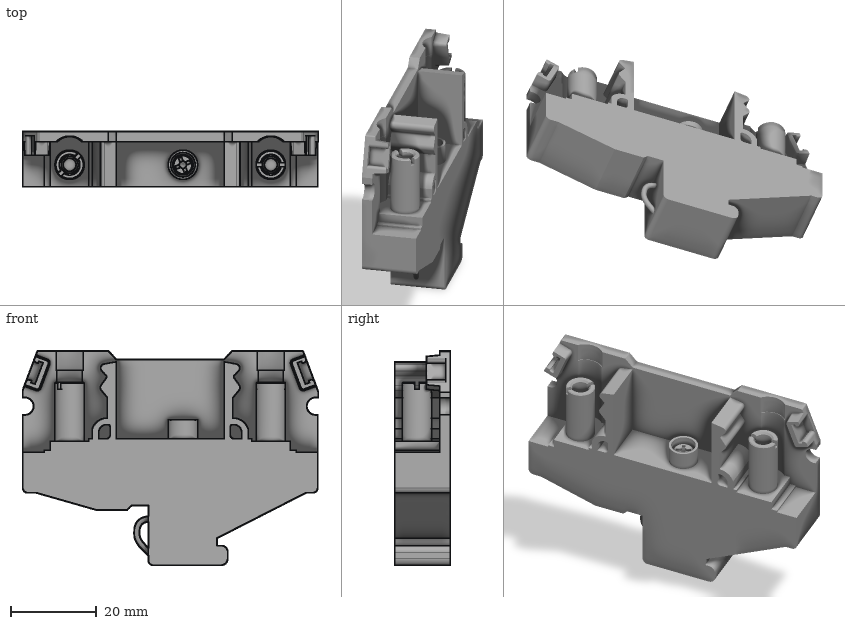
import cadquery as cq
import math

LENGTH = 69.0
HALF_BODY = 34.4
HALF_LUG = LENGTH - HALF_BODY
DEPTH = 13.0
HEIGHT = 50.0
PLATE_THICKNESS = 2.5
PLATE_FRONT = DEPTH - PLATE_THICKNESS

END_DECK = 26.4
STEP_DECK = 26.85
PILLAR_DECK = 28.9
FLOOR = 29.5
BODY_BOTTOM = 16.9
BODY_CORNER_RADIUS = 1.25

BAY_HALF = 12.55
WALL_OUTER = 14.6
WALL_TOP = 47.5
SHOULDER_OUTER = 18.15
SHOULDER_TOP = 34.35
SHOULDER_RADIUS = 3.65

BAY_PLATE_TOP = 48.0
PLATE_CHAMFER_X = 14.4
PLATE_CORNER_X = 31.0
PLATE_CORNER_RADIUS = 0.4
SLANT_ANGLE = 20.5
NOTCH_DIAMETER = 4.0
NOTCH_X = 33.9
NOTCH_Z = 37.1

PILLAR_X = 23.45
PILLAR_Y = 5.2
PILLAR_DIAMETER = 6.8
PILLAR_TOP = 42.7
PILLAR_BORE = 4.0
PILLAR_BORE_DEPTH = 5.5
PILLAR_RIM_CHAMFER = 0.2
PILLAR_MOUTH_CHAMFER = 0.4
SCREW_CHAMFER = 0.5
SCREW_HEIGHT = 1.4
SLOT_WIDTH = 1.05
SLOT_DEPTH = 1.6
SLOT_ANGLES = {-1: 45, 1: 0}

RELIEF_Y = 7.6
RELIEF_RADIUS = 4.15
RELIEF_TOP_RADIUS = 4.3
RELIEF_STEP = 45.55

SOCKET_X = 3.0
SOCKET_TOP = 33.95
SOCKET_BORE = 5.7
SOCKET_BORE_DEPTH = 2.75
SOCKET_SCREW_DIAMETER = 4.75
SOCKET_SCREW_HEIGHT = 1.4
SOCKET_SCREW_CHAMFER = 0.3
CROSS_LENGTH = 3.6
CROSS_WIDTH = 0.75
CROSS_DEPTH = 0.6
CROSS_ANGLE = 22
CROSS_CENTRE_DIAMETER = 1.65
CROSS_CONE_DEPTH = 0.55

CLIP_FRONT = 7.4
CLIP_START = 1.05
CLIP_END = 8.75
CLIP_REACH = 3.8
CLIP_RADIUS = 0.9
CLIP_TAPER = 6
CLIP_POCKET_BACK = 11.95
OPENING_START = 1.85
OPENING_END = 7.8
MOUTH_START = 2.7
MOUTH_END = 7.0
MOUTH_DEPTH = 1.2
POCKET_START = 2.15
POCKET_END = 7.45
POCKET_DEPTH = 2.2
LIP_RADIUS = 0.75

FOOT_LEFT = -5.1
WIRE_DIAMETER = 1.3
WIRE_BEND_RADIUS = 3.3
WIRE_X = -4.5
WIRE_Y = 6.0
WIRE_Z = 7.6
WIRE_TILT = 10
WIRE_TAIL_END = (0.35, -5.45)


def rounded_face(workplane, corners):
    """Closed outline through (x, y) or (x, y, corner radius) points on a workplane."""
    count = len(corners)
    outline = workplane
    for index, corner in enumerate(corners):
        x, y = corner[:2]
        radius = corner[2] if len(corner) == 3 else 0
        move = outline.lineTo if index else outline.moveTo
        if not radius:
            outline = move(x, y)
            continue
        before = cq.Vector(*corners[index - 1][:2]) - cq.Vector(x, y)
        after = cq.Vector(*corners[(index + 1) % count][:2]) - cq.Vector(x, y)
        half_angle = before.getAngle(after) / 2
        before = before.normalized()
        after = after.normalized()
        apex = cq.Vector(x, y)
        tangent = radius / math.tan(half_angle)
        to_arc = radius / math.sin(half_angle) - radius
        start = apex + before * tangent
        middle = apex + (before + after).normalized() * to_arc
        end = apex + after * tangent
        outline = move(start.x, start.y).threePointArc((middle.x, middle.y), (end.x, end.y))
    return outline.close()


def both_sides(left_part):
    return left_part.union(left_part.mirror("YZ"))


def extrude_outline(corners, back, depth):
    """Solid from an X-Z outline, reaching forward (toward -Y) from `back`."""
    return rounded_face(cq.Workplane("XZ", origin=(0, back, 0)), corners).extrude(depth)


def cylinder(diameter, x, y, bottom, top):
    return cq.Workplane("XY", origin=(x, y, bottom)).circle(diameter / 2).extrude(top - bottom)


def make_body():
    left_deck = [
        (-HALF_BODY, END_DECK),
        (-29.4, END_DECK),
        (-29.4, STEP_DECK),
        (-27.95, STEP_DECK),
        (-27.95, PILLAR_DECK),
        (-19.0, PILLAR_DECK),
        (-19.0, FLOOR),
        (-SHOULDER_OUTER, FLOOR),
        (-SHOULDER_OUTER, 31.9),
        (-17.25, SHOULDER_TOP, SHOULDER_RADIUS),
        (-WALL_OUTER, SHOULDER_TOP),
        (-WALL_OUTER, 39.1),
        (-16.55, 41.4, 1.05),
        (-14.7, 44.0, 0.35),
        (-17.2, 46.65, 1.0),
        (-BAY_HALF, WALL_TOP),
        (-BAY_HALF, FLOOR),
    ]
    right_deck = [(-x, *rest) for x, *rest in reversed(left_deck)]
    underside = [
        (HALF_BODY, BODY_BOTTOM, BODY_CORNER_RADIUS),
        (31.7, BODY_BOTTOM),
        (11.0, 6.35),
        (11.0, 4.6),
        (13.45, 4.6, 1.5),
        (13.45, 0, 1.65),
        (FOOT_LEFT, 0, 1.2),
        (FOOT_LEFT, 13.95),
        (-9.05, 13.95),
        (-10.1, 12.9),
        (-17.25, 12.9),
        (-31.25, BODY_BOTTOM),
        (-HALF_BODY, BODY_BOTTOM, BODY_CORNER_RADIUS),
    ]
    return extrude_outline(left_deck + right_deck + underside, DEPTH, DEPTH)


def make_shoulder_holes():
    left_hole = [
        (-16.7, FLOOR),
        (-16.7, 32.85, 1.9),
        (-14.0, 32.85, 0.55),
        (-14.0, FLOOR, 0.9),
    ]
    return both_sides(extrude_outline(left_hole, PLATE_FRONT, PLATE_FRONT))


def slant_z(x):
    """Height of the slanted plate end at a distance x from the middle."""
    return HEIGHT - (x - PLATE_CORNER_X) / math.tan(math.radians(SLANT_ANGLE))


def make_plate():
    plate = extrude_outline(
        [
            (-HALF_BODY, END_DECK),
            (-HALF_BODY, slant_z(HALF_BODY)),
            (-PLATE_CORNER_X, HEIGHT, PLATE_CORNER_RADIUS),
            (-PLATE_CHAMFER_X, HEIGHT),
            (-BAY_HALF, BAY_PLATE_TOP),
            (BAY_HALF, BAY_PLATE_TOP),
            (PLATE_CHAMFER_X, HEIGHT),
            (PLATE_CORNER_X, HEIGHT, PLATE_CORNER_RADIUS),
            (HALF_LUG, slant_z(HALF_LUG)),
            (HALF_LUG, NOTCH_Z),
            (HALF_BODY, NOTCH_Z),
            (HALF_BODY, END_DECK),
        ],
        DEPTH,
        PLATE_THICKNESS,
    )
    notch_run = 2 * (HALF_LUG - NOTCH_X)
    notch = (
        cq.Workplane("XZ", origin=(-NOTCH_X - notch_run / 2, DEPTH, NOTCH_Z))
        .slot2D(notch_run + NOTCH_DIAMETER, NOTCH_DIAMETER)
        .extrude(PLATE_THICKNESS)
    )
    lower_relief = cylinder(2 * RELIEF_RADIUS, -PILLAR_X, RELIEF_Y, PILLAR_DECK, RELIEF_STEP)
    upper_relief = cylinder(2 * RELIEF_TOP_RADIUS, -PILLAR_X, RELIEF_Y, RELIEF_STEP, HEIGHT)
    return plate.cut(both_sides(notch.union(lower_relief).union(upper_relief)))


def make_pillar(side):
    x = side * PILLAR_X
    bore_bottom = PILLAR_TOP - PILLAR_BORE_DEPTH
    pillar = cylinder(PILLAR_DIAMETER, x, PILLAR_Y, PILLAR_DECK, PILLAR_TOP)
    pillar = pillar.faces(">Z").chamfer(PILLAR_RIM_CHAMFER)
    pillar = pillar.cut(cylinder(PILLAR_BORE, x, PILLAR_Y, bore_bottom, PILLAR_TOP))
    mouth = pillar.faces(">Z").edges(cq.selectors.RadiusNthSelector(0))
    pillar = mouth.chamfer(PILLAR_MOUTH_CHAMFER)
    screw = cylinder(PILLAR_BORE, x, PILLAR_Y, bore_bottom, bore_bottom + SCREW_HEIGHT)
    screw = screw.faces(">Z").chamfer(SCREW_CHAMFER)
    slot = (
        cq.Workplane("XY", origin=(x, PILLAR_Y, PILLAR_TOP))
        .transformed(rotate=(0, 0, SLOT_ANGLES[side]))
        .rect(PILLAR_DIAMETER, SLOT_WIDTH)
        .extrude(-SLOT_DEPTH)
    )
    return pillar.cut(slot).union(screw)


def make_socket():
    bore_bottom = SOCKET_TOP - SOCKET_BORE_DEPTH
    screw_top = bore_bottom + SOCKET_SCREW_HEIGHT
    tube = cylinder(PILLAR_DIAMETER, SOCKET_X, PILLAR_Y, FLOOR, SOCKET_TOP)
    tube = tube.cut(cylinder(SOCKET_BORE, SOCKET_X, PILLAR_Y, bore_bottom, SOCKET_TOP))
    screw = cylinder(SOCKET_SCREW_DIAMETER, SOCKET_X, PILLAR_Y, bore_bottom, screw_top)
    screw = screw.faces(">Z").chamfer(SOCKET_SCREW_CHAMFER)
    for turn in (0, 90):
        arm = (
            cq.Workplane("XY", origin=(SOCKET_X, PILLAR_Y, screw_top))
            .transformed(rotate=(0, 0, CROSS_ANGLE + turn))
            .rect(CROSS_LENGTH, CROSS_WIDTH)
            .extrude(-CROSS_DEPTH)
        )
        screw = screw.cut(arm)
    well_bottom = screw_top - CROSS_DEPTH
    well = cylinder(CROSS_CENTRE_DIAMETER, SOCKET_X, PILLAR_Y, well_bottom, screw_top)
    cone = cq.Solid.makeCone(
        CROSS_CENTRE_DIAMETER / 2,
        0,
        CROSS_CONE_DEPTH,
        pnt=cq.Vector(SOCKET_X, PILLAR_Y, well_bottom),
        dir=cq.Vector(0, 0, -1),
    )
    return tube.union(screw.cut(well).cut(cq.Workplane(cone)))


def slant_workplane(y):
    """Plane at the left plate corner: x runs inward square to the slant, -y runs down the slant."""
    angle = math.radians(SLANT_ANGLE)
    return cq.Workplane(
        cq.Plane(
            origin=(-PLATE_CORNER_X, y, HEIGHT),
            xDir=(math.cos(angle), 0, -math.sin(angle)),
            normal=(0, -1, 0),
        )
    )


def make_clip():
    height = PLATE_FRONT - CLIP_FRONT
    block = rounded_face(
        slant_workplane(PLATE_FRONT),
        [
            (-CLIP_REACH, -CLIP_START),
            (CLIP_REACH, -CLIP_START, CLIP_RADIUS),
            (CLIP_REACH, -CLIP_END, CLIP_RADIUS),
            (-CLIP_REACH, -CLIP_END),
        ],
    ).extrude(height, taper=CLIP_TAPER)
    keep = slant_workplane(PLATE_FRONT).rect(2 * CLIP_REACH, 2 * HEIGHT).extrude(height)
    keep = keep.translate(slant_workplane(0).plane.xDir * CLIP_REACH)
    return block.intersect(keep)


def make_clip_pocket():
    return rounded_face(
        slant_workplane(CLIP_POCKET_BACK),
        [
            (-CLIP_REACH, -OPENING_START),
            (0, -OPENING_START),
            (0, -MOUTH_START, LIP_RADIUS),
            (MOUTH_DEPTH, -MOUTH_START),
            (MOUTH_DEPTH, -POCKET_START),
            (POCKET_DEPTH, -POCKET_START),
            (POCKET_DEPTH, -POCKET_END),
            (MOUTH_DEPTH, -POCKET_END),
            (MOUTH_DEPTH, -MOUTH_END),
            (0, -MOUTH_END, LIP_RADIUS),
            (0, -OPENING_END),
            (-CLIP_REACH, -OPENING_END),
        ],
    ).extrude(CLIP_POCKET_BACK - CLIP_FRONT)


def make_wire():
    path = cq.Workplane("XZ").spline(
        [(0, WIRE_BEND_RADIUS), (-WIRE_BEND_RADIUS, 0), WIRE_TAIL_END],
        tangents=[(-1, 0), (0, -1), (1, -1)],
    )
    wire = cq.Workplane("YZ", origin=(0, 0, WIRE_BEND_RADIUS)).circle(WIRE_DIAMETER / 2).sweep(path)
    wire = wire.rotate((0, 0, 0), (1, 0, 0), WIRE_TILT)
    return wire.translate((WIRE_X, WIRE_Y, WIRE_Z))


result = make_body().cut(make_shoulder_holes()).union(make_plate())
result = result.union(both_sides(make_clip())).cut(both_sides(make_clip_pocket()))
for pillar_side in (-1, 1):
    result = result.union(make_pillar(pillar_side))
result = result.union(make_socket()).union(make_wire())